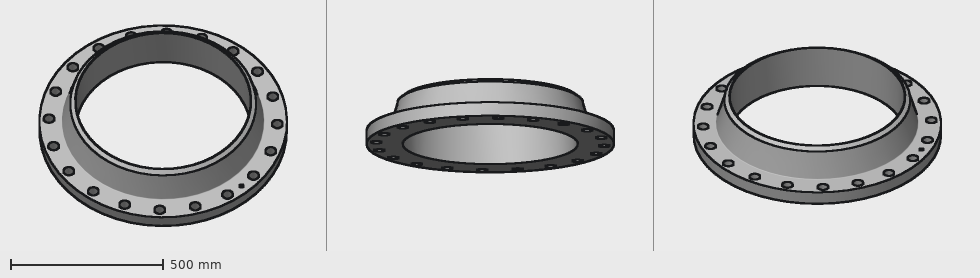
import cadquery as cq

flange_diameter = 812.5
total_height = 151.0
flange_thickness = 45.5

hub_base_diameter = 663.0
hub_top_diameter = 610.0
bore_diameter = 574.5
root_fillet = 3.0
rim_height = 5.0
bevel_height = 12.0
land_width = 2.0

bolt_circle_diameter = 749.0
bolt_hole_diameter = 35.0
bolt_hole_count = 20

pin_entry_diameter = 12.0
pin_entry_depth = 12.0
pin_core_diameter = 7.0
pin_core_depth = flange_thickness / 2
pin_tip_depth = 2.5

flange_radius = flange_diameter / 2
hub_base_radius = hub_base_diameter / 2
hub_top_radius = hub_top_diameter / 2
bore_radius = bore_diameter / 2
bolt_circle_radius = bolt_circle_diameter / 2
bevel_base_z = total_height - bevel_height
cone_top_z = bevel_base_z - rim_height
half_bolt_pitch = 180.0 / bolt_hole_count


def ring_body():
    """Flange plate, tapered hub and bevelled welding end, turned about Z."""
    body = (
        cq.Workplane("XZ")
        .moveTo(bore_radius, 0)
        .lineTo(flange_radius, 0)
        .lineTo(flange_radius, flange_thickness)
        .lineTo(hub_base_radius, flange_thickness)
        .lineTo(hub_top_radius, cone_top_z)
        .lineTo(hub_top_radius, bevel_base_z)
        .lineTo(bore_radius + land_width, total_height)
        .lineTo(bore_radius, total_height)
        .close()
        .revolve(360, (0, 0, 0), (0, 1, 0))
    )
    hub_root = cq.selectors.RadiusNthSelector(-2)
    return body.edges("%CIRCLE").edges(hub_root).fillet(root_fillet)


def bolt_holes():
    """Through holes evenly spaced on the bolt circle."""
    return (
        cq.Workplane("XY")
        .polarArray(bolt_circle_radius, 0, 360, bolt_hole_count)
        .circle(bolt_hole_diameter / 2)
        .extrude(flange_thickness)
    )


def pin_hole():
    """Stepped blind hole in the flange top, midway between two bolt holes."""
    entry_radius = pin_entry_diameter / 2
    core_radius = pin_core_diameter / 2
    return (
        cq.Workplane("XZ")
        .lineTo(entry_radius, 0)
        .lineTo(entry_radius, -pin_entry_depth)
        .lineTo(core_radius, -pin_entry_depth)
        .lineTo(core_radius, -pin_core_depth)
        .lineTo(0, -pin_core_depth - pin_tip_depth)
        .close()
        .revolve(360, (0, 0, 0), (0, 1, 0))
        .translate((bolt_circle_radius, 0, flange_thickness))
        .rotate((0, 0, 0), (0, 0, 1), half_bolt_pitch)
    )


result = ring_body().cut(bolt_holes()).cut(pin_hole())